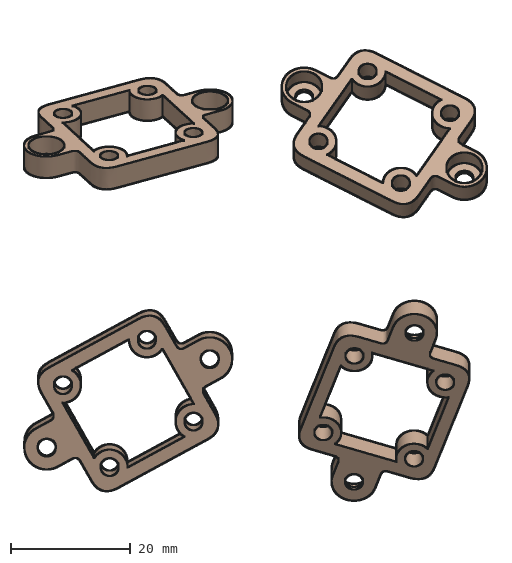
import cadquery as cq

thickness = 4.15
frame_side = 23.6
corner_setback = 3.3
window_side = 19.0

boss_spacing = 16.0
boss_radius = 3.0
screw_hole_diameter = 3.0

overall_length = 38.6
ear_radius = 3.75
ear_root_setback = 1.0
counterbore_diameter = 6.0
counterbore_floor = 0.8

frame_half = frame_side / 2
ear_end = overall_length / 2
ear_offset = ear_end - ear_radius
counterbore_depth = thickness - counterbore_floor
boss_points = [(x * boss_spacing / 2, y * boss_spacing / 2) for x in (-1, 1) for y in (-1, 1)]
ear_points = [(0, -ear_offset), (0, ear_offset)]


def blend(outline, corner, end):
    """Round a corner with a parabola from the current point, tangent to both sides."""
    return outline.bezier([corner, end], includeCurrent=True)


def make_end_block(side):
    """Half of the frame with its ear, on the +Y side (side = 1) or the -Y side (side = -1)."""
    edge_y = side * frame_half
    outline = cq.Workplane("XY").moveTo(-frame_half, 0)
    outline = outline.lineTo(-frame_half, side * (frame_half - corner_setback))
    outline = blend(outline, (-frame_half, edge_y), (-frame_half + corner_setback, edge_y))
    outline = outline.lineTo(-ear_radius - ear_root_setback, edge_y)
    outline = blend(outline, (-ear_radius, edge_y), (-ear_radius, side * (frame_half + ear_root_setback)))
    outline = outline.lineTo(-ear_radius, side * ear_offset)
    outline = outline.threePointArc((0, side * ear_end), (ear_radius, side * ear_offset))
    outline = outline.lineTo(ear_radius, side * (frame_half + ear_root_setback))
    outline = blend(outline, (ear_radius, edge_y), (ear_radius + ear_root_setback, edge_y))
    outline = outline.lineTo(frame_half - corner_setback, edge_y)
    outline = blend(outline, (frame_half, edge_y), (frame_half, side * (frame_half - corner_setback)))
    outline = outline.lineTo(frame_half, 0)
    return outline.close().extrude(thickness)


def make_outer_body():
    """Both halves joined, with the seams between their coplanar faces removed."""
    return make_end_block(1).union(make_end_block(-1)).clean()


def make_window():
    """Square opening, cut back at its corners by the round bosses."""
    opening = cq.Workplane("XY").rect(window_side, window_side).extrude(thickness)
    bosses = cq.Workplane("XY").pushPoints(boss_points).circle(boss_radius).extrude(thickness)
    return opening.cut(bosses)


def drill_boss_holes(body):
    """Plain through holes in the four corner bosses."""
    top = body.faces(">Z").workplane(origin=(0, 0, thickness))
    return top.pushPoints(boss_points).hole(screw_hole_diameter)


def drill_ear_holes(body):
    """Through holes in the ears, counterbored from the top."""
    top = body.faces(">Z").workplane(origin=(0, 0, thickness))
    return top.pushPoints(ear_points).cboreHole(
        screw_hole_diameter, counterbore_diameter, counterbore_depth
    )


frame = make_outer_body().cut(make_window())
result = drill_ear_holes(drill_boss_holes(frame))